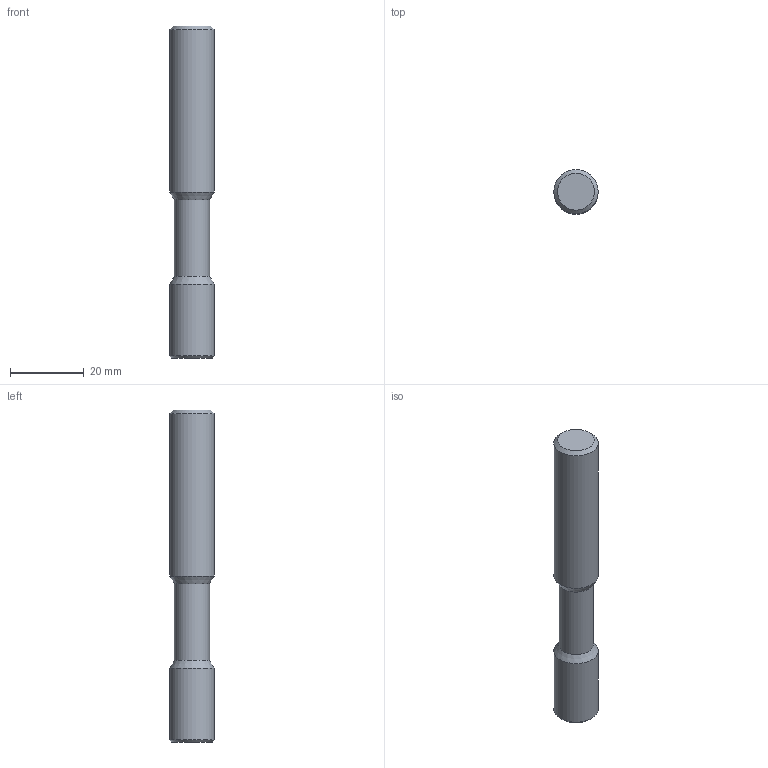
import cadquery as cq

length = 90.0
body_radius = 12.01 / 2

neck_radius = 4.75
lower_body_top = 20.0
taper_height = 2.15
neck_bottom = lower_body_top + taper_height
upper_body_bottom = 45.0
neck_top = upper_body_bottom - taper_height

top_chamfer = 1.0
bottom_chamfer = 0.55


def stud_half_profile():
    """Half section of the stud in the XZ plane, as (radius, height) points."""
    return (
        cq.Workplane("XZ")
        .moveTo(0, 0)
        .lineTo(body_radius - bottom_chamfer, 0)
        .lineTo(body_radius, bottom_chamfer)
        .lineTo(body_radius, lower_body_top)
        .lineTo(neck_radius, neck_bottom)
        .lineTo(neck_radius, neck_top)
        .lineTo(body_radius, upper_body_bottom)
        .lineTo(body_radius, length - top_chamfer)
        .lineTo(body_radius - top_chamfer, length)
        .lineTo(0, length)
        .close()
    )


result = stud_half_profile().revolve(360, (0, 0, 0), (0, 1, 0))